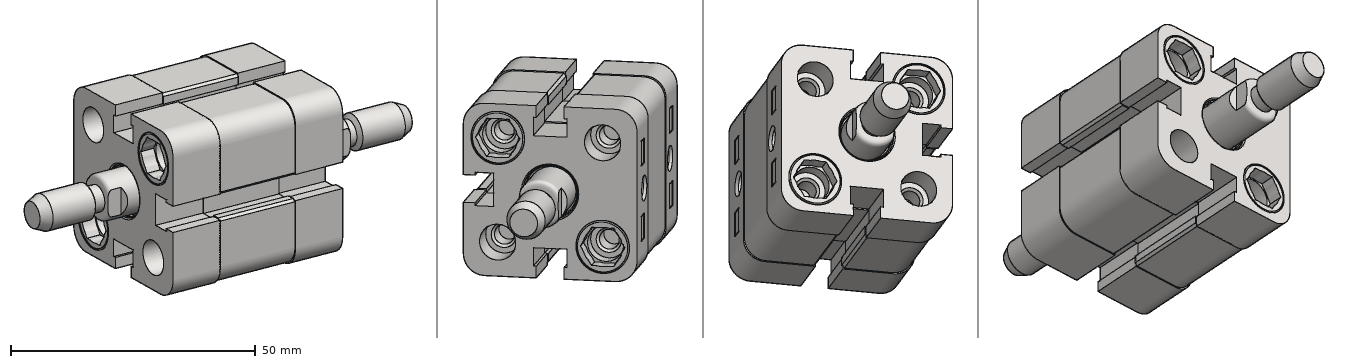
import cadquery as cq
import math

ROD_LENGTH = 92.1
FRONT_FACE_Y = -23.5
CAP_LENGTH = 11.7
BARREL_LENGTH = 18.6

CAP_SIDE = 36.3
BARREL_SIDE = 35.8
CORNER_RADIUS = 4.5

SLOT_WIDTH = 7.0
CAP_SLOT_DEPTH = 6.4
BARREL_SLOT_DEPTH = 6.1
SLOT_LIP_DEPTH = 2.5
CAP_SLOT_MOUTH = 5.8
BARREL_SLOT_MOUTH = 5.3
BARREL_LIP_CHAMFER = 0.55

HOLE_OFFSET = 11.0
BORE_DIAMETER = 7.55
BORE_DEPTH = 6.45
THREAD_HOLE_DIAMETER = 4.1
THREAD_MOUTH_DIAMETER = 5.25
HEX_ACROSS_FLATS = 8.0
HEX_RELIEF_DIAMETER = 8.3
HEX_DEPTH = 3.2
GROOVE_OUTER_DIAMETER = 11.1
GROOVE_INNER_DIAMETER = 10.5

PORT_FROM_FACE = 7.55
PORT_DEPTH = 13.4
PORT_DIAMETER = 4.1
PORT_MOUTH_DIAMETER = 5.3

LABEL_FROM_FACE = 6.3
LABEL_OFFSET = 7.9
LABEL_WIDTH = 3.2
LABEL_HEIGHT = 5.2
LABEL_DEPTH = 0.2

ROD_DIAMETER = 10.0
TIP_DIAMETER = 5.8
STUD_DIAMETER = 8.0
UNDERCUT_DIAMETER = 5.8
TIP_CHAMFER_LENGTH = 2.5
STUD_END = 13.0
UNDERCUT_START = 13.7
SHOULDER = 16.0
SHOULDER_RADIUS = 1.0
FLAT_END = 19.25
WRENCH_FLATS = 8.0

ROD_MOUTH_DIAMETER = 12.0
ROD_RECESS_DIAMETER = 11.4
ROD_RECESS_DEPTH = 0.7
ROD_LIP_DIAMETER = 10.9
ROD_LIP_DEPTH = 1.8

ALONG_Y = cq.Vector(0, 1, 0)


def cylinder_along_y(diameter, length, x=0.0, y=0.0, z=0.0):
    return cq.Workplane(cq.Solid.makeCylinder(diameter / 2, length, cq.Vector(x, y, z), ALONG_Y))


def cone_along_y(start_diameter, end_diameter, length, x=0.0, y=0.0, z=0.0):
    start = cq.Vector(x, y, z)
    return cq.Workplane(cq.Solid.makeCone(start_diameter / 2, end_diameter / 2, length, start, ALONG_Y))


def t_slot(half_side, floor, mouth, lip_chamfer, length):
    """Slot in the top side (+Z), running along +Y from the origin; its floor is at height `floor`."""
    lip_bottom = CAP_SIDE / 2 - SLOT_LIP_DEPTH
    half_profile = [
        (0, floor),
        (SLOT_WIDTH / 2, floor),
        (SLOT_WIDTH / 2, lip_bottom),
        (mouth / 2, lip_bottom),
        (mouth / 2, half_side - lip_chamfer),
    ]
    if lip_chamfer > 0:
        half_profile.append((mouth / 2 + lip_chamfer, half_side))
    half_profile.append((0, half_side))
    half = cq.Workplane("XZ").polyline(half_profile).close().extrude(-length)
    return half.union(half.mirror("YZ"))


def slotted_block(side, length, slot_depth, mouth, lip_chamfer=0.0):
    """Rounded square block from y = 0 to y = length, with T-slots in three sides."""
    block = cq.Workplane("XZ").rect(side, side).extrude(-length).edges("|Y").fillet(CORNER_RADIUS)
    slot = t_slot(side / 2, CAP_SIDE / 2 - slot_depth, mouth, lip_chamfer, length)
    for angle in (0, 90, 180):
        block = block.cut(slot.rotate((0, 0, 0), (0, 1, 0), angle))
    return block


def mounting_hole(x, z):
    """Deep plain bore whose floor carries a countersunk thread hole."""
    mouth_depth = (THREAD_MOUTH_DIAMETER - THREAD_HOLE_DIAMETER) / 2
    bore = cylinder_along_y(BORE_DIAMETER, BORE_DEPTH, x, 0, z)
    countersink = cone_along_y(THREAD_MOUTH_DIAMETER, THREAD_HOLE_DIAMETER, mouth_depth, x, BORE_DEPTH, z)
    thread_hole = cylinder_along_y(THREAD_HOLE_DIAMETER, CAP_LENGTH - BORE_DEPTH, x, BORE_DEPTH, z)
    return bore.union(countersink).union(thread_hole)


def hex_socket(x, z):
    """Hex socket whose flats are relieved by a slightly wider round hole."""
    corner_diameter = HEX_ACROSS_FLATS / math.cos(math.pi / 6)
    socket = cq.Workplane("XZ").center(x, z).polygon(6, corner_diameter).extrude(-HEX_DEPTH)
    relief = cylinder_along_y(HEX_RELIEF_DIAMETER, HEX_DEPTH, x, 0, z)
    return socket.union(relief)


def head_groove(x, z):
    """V-groove around a hex socket: straight outer wall, sloping inner wall."""
    depth = (GROOVE_OUTER_DIAMETER - GROOVE_INNER_DIAMETER) / 2
    outside = cylinder_along_y(GROOVE_OUTER_DIAMETER, depth, x, 0, z)
    island = cone_along_y(GROOVE_INNER_DIAMETER, GROOVE_OUTER_DIAMETER, depth, x, 0, z)
    return outside.cut(island)


def air_port():
    """Countersunk blind hole from the -X side that breaks into the rod bore."""
    mouth_depth = (PORT_MOUTH_DIAMETER - PORT_DIAMETER) / 2
    start = cq.Vector(-CAP_SIDE / 2, PORT_FROM_FACE, 0)
    inward = cq.Vector(1, 0, 0)
    hole = cq.Solid.makeCylinder(PORT_DIAMETER / 2, PORT_DEPTH, start, inward)
    mouth = cq.Solid.makeCone(PORT_MOUTH_DIAMETER / 2, PORT_DIAMETER / 2, mouth_depth, start, inward)
    return cq.Workplane(hole).union(cq.Workplane(mouth))


def label_recess(z):
    recess = cq.Workplane("XY").box(2 * LABEL_DEPTH, LABEL_WIDTH, LABEL_HEIGHT)
    return recess.translate((-CAP_SIDE / 2, LABEL_FROM_FACE, z))


def rod_passage():
    passage = cylinder_along_y(ROD_DIAMETER, CAP_LENGTH)
    lip = cylinder_along_y(ROD_LIP_DIAMETER, ROD_LIP_DEPTH)
    recess = cylinder_along_y(ROD_RECESS_DIAMETER, ROD_RECESS_DEPTH)
    mouth_depth = (ROD_MOUTH_DIAMETER - ROD_RECESS_DIAMETER) / 2
    mouth = cone_along_y(ROD_MOUTH_DIAMETER, ROD_RECESS_DIAMETER, mouth_depth)
    return passage.union(lip).union(recess).union(mouth)


def make_cap():
    """End cap with its outer face at y = 0 and its body towards +Y."""
    cap = slotted_block(CAP_SIDE, CAP_LENGTH, CAP_SLOT_DEPTH, CAP_SLOT_MOUTH)
    for x_side in (-1, 1):
        for z_side in (-1, 1):
            x = x_side * HOLE_OFFSET
            z = z_side * HOLE_OFFSET
            cap = cap.cut(mounting_hole(x, z))
            if x_side == z_side:
                cap = cap.cut(hex_socket(x, z)).cut(head_groove(x, z))
    for z in (-LABEL_OFFSET, LABEL_OFFSET):
        cap = cap.cut(label_recess(z))
    return cap.cut(rod_passage()).cut(air_port())


def make_barrel():
    barrel = slotted_block(
        BARREL_SIDE, BARREL_LENGTH, BARREL_SLOT_DEPTH, BARREL_SLOT_MOUTH, BARREL_LIP_CHAMFER
    )
    return barrel.cut(cylinder_along_y(ROD_DIAMETER, BARREL_LENGTH))


def wrench_flats():
    """Material removed on both sides of the front rod end to leave two flats with a 45-degree run-out."""
    flat_x = WRENCH_FLATS / 2
    runout = ROD_DIAMETER / 2
    profile = [
        (flat_x, SHOULDER),
        (flat_x, FLAT_END),
        (flat_x + runout, FLAT_END + runout),
        (flat_x + runout, SHOULDER),
    ]
    side = cq.Workplane("XY").polyline(profile).close().extrude(ROD_DIAMETER, both=True)
    return side.union(side.mirror("YZ")).translate((0, -ROD_LENGTH / 2, 0))


def make_rod():
    rod_radius = ROD_DIAMETER / 2
    arc_middle = SHOULDER_RADIUS * (1 - math.sqrt(0.5))
    half = (
        cq.Workplane("XY")
        .lineTo(TIP_DIAMETER / 2, 0)
        .lineTo(STUD_DIAMETER / 2, TIP_CHAMFER_LENGTH)
        .lineTo(STUD_DIAMETER / 2, STUD_END)
        .lineTo(UNDERCUT_DIAMETER / 2, UNDERCUT_START)
        .lineTo(UNDERCUT_DIAMETER / 2, SHOULDER)
        .lineTo(rod_radius - SHOULDER_RADIUS, SHOULDER)
        .threePointArc(
            (rod_radius - arc_middle, SHOULDER + arc_middle),
            (rod_radius, SHOULDER + SHOULDER_RADIUS),
        )
        .lineTo(rod_radius, ROD_LENGTH / 2)
        .lineTo(0, ROD_LENGTH / 2)
        .close()
        .revolve(360, (0, 0, 0), (0, 1, 0))
    )
    half = half.translate((0, -ROD_LENGTH / 2, 0)).cut(wrench_flats())
    return half.union(half.mirror("XZ"))


cap = make_cap()
rear_face_y = FRONT_FACE_Y + 2 * CAP_LENGTH + BARREL_LENGTH
front_cap = cap.translate((0, FRONT_FACE_Y, 0))
rear_cap = cap.mirror("XZ").translate((0, rear_face_y, 0))
barrel = make_barrel().translate((0, FRONT_FACE_Y + CAP_LENGTH, 0))
rod = make_rod()

result = cq.Compound.makeCompound([front_cap.val(), barrel.val(), rear_cap.val(), rod.val()])